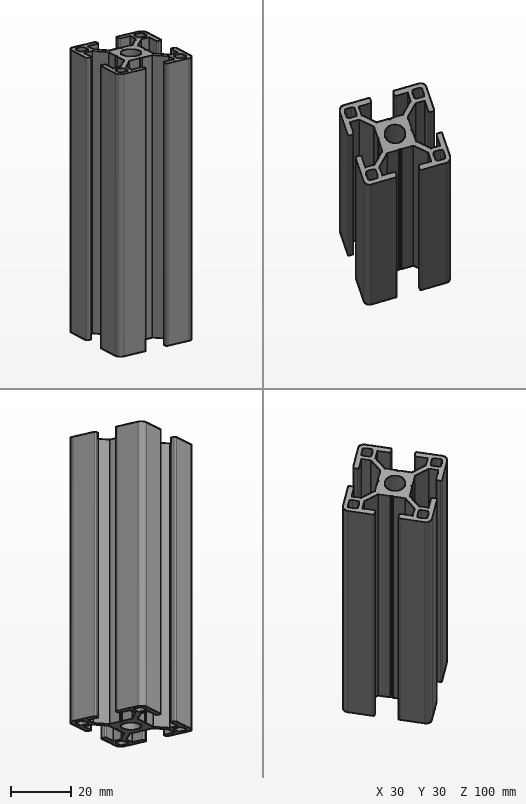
import cadquery as cq

length = 100.0
width = 30.0
corner_radius = 2.0

slot_opening = 8.0
lip_thickness = 2.0
lip_edge_radius = 0.5
slot_inner_width = 17.0
core_width = 11.7
strut_offset = 1.3

groove_width = 1.0
groove_depth = 0.3

centre_hole_diameter = 6.8
corner_hole_size = 3.5
corner_hole_radius = 0.9
corner_hole_position = 11.7

half_width = width / 2
side_angles = [0, 90, 180, 270]


def make_blank():
    """Full-length square bar with rounded corners."""
    bar = cq.Workplane("XY").rect(width, width).extrude(length)
    return bar.edges("|Z").fillet(corner_radius)


def make_slot():
    """T-slot cutter for the +Y side, including the groove in its floor."""
    half_opening = slot_opening / 2
    half_inner = slot_inner_width / 2
    lip_inner_y = half_width - lip_thickness
    floor_y = core_width / 2
    wall_end_y = half_inner + strut_offset
    half_floor = floor_y - strut_offset

    right_side = [
        (groove_width / 2, floor_y),
        (half_floor, floor_y),
        (half_inner, wall_end_y),
        (half_inner, lip_inner_y),
        (half_opening, lip_inner_y),
        (half_opening, half_width),
    ]
    left_side = [(-x, y) for x, y in reversed(right_side)]
    groove_bottom = (0, floor_y - groove_depth)
    outline = [groove_bottom] + right_side + left_side
    return cq.Workplane("XY").polyline(outline).close().extrude(length)


def round_lips(body):
    """Round both long edges at the tip of every lip."""
    tip = slot_opening / 2
    for face in (half_width, half_width - lip_thickness):
        for x, y in ((face, tip), (face, -tip), (-face, tip), (-face, -tip)):
            for edge_x, edge_y in ((x, y), (y, x)):
                edge_middle = (edge_x, edge_y, length / 2)
                lip_edge = cq.selectors.NearestToPointSelector(edge_middle)
                body = body.edges(lip_edge).fillet(lip_edge_radius)
    return body


def make_corner_holes():
    """Square cutters with rounded corners, one in each corner of the profile."""
    pitch = 2 * corner_hole_position
    holes = (
        cq.Workplane("XY")
        .rect(pitch, pitch, forConstruction=True)
        .vertices()
        .rect(corner_hole_size, corner_hole_size)
        .extrude(length)
    )
    return holes.edges("|Z").fillet(corner_hole_radius)


def make_centre_hole():
    """Round cutter along the axis of the profile."""
    return cq.Workplane("XY").circle(centre_hole_diameter / 2).extrude(length)


profile = make_blank()
slot = make_slot()
for angle in side_angles:
    profile = profile.cut(slot.rotate((0, 0, 0), (0, 0, 1), angle))
profile = round_lips(profile)
result = profile.cut(make_corner_holes()).cut(make_centre_hole())